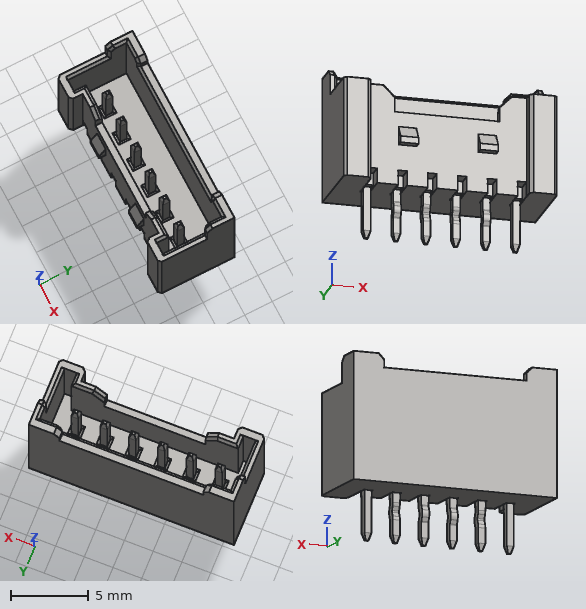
import cadquery as cq
import math


width = 14.3
back_y = 2.95
depth = 5.5
total_height = 11.8
front_y = back_y - depth
half_width = width / 2

tab_top = 8.51
back_rim = 7.6
side_rim = 6.78
tab_back_length = 2.15
tab_side_length = 2.0
tab_chamfer = 0.4

wall = 0.5
back_wall = 0.7
front_wall = 0.49
rim_bevel = 0.2
floor_top = 1.8

ear_width = 1.83
ear_projection = 0.92
ear_chamfer = 0.2
ear_inner_chamfer = 0.23
ear_inner_x = half_width - ear_width
panel_y = front_y + ear_projection

cavity_side_x = half_width - wall
cavity_back_y = back_y - back_wall
cavity_front_y = front_y + wall
cavity_ear_x = ear_inner_x + front_wall
cavity_panel_y = panel_y + front_wall

window_half_width = 3.52
window_bottom = 5.0
window_flare_bottom = 6.0
window_flare = side_rim - window_flare_bottom

latch_x = 2.67
latch_width = 1.2
latch_projection = 0.5
latch_top = 4.0
latch_knee = 3.19
latch_bottom = 2.76

pin_count = 6
pin_pitch = 2.0
pin_size = 0.5
pin_top = 5.49
pin_bottom = tab_top - total_height
tip_length = 0.49
tip_size = 0.2

kink_z = -1.2
kink_half_height = 0.57
kink_angle = math.radians(22)
kink_radius = 0.4
kink_directions = [0, -1, 1, 1, -1, 0]

funnel_size = 0.89
funnel_depth = (funnel_size - pin_size) / 2
slot_width = 0.6
slot_height = 0.19
notch_height = 1.0
notch_depth = 1.0

pin_places = [(i - (pin_count - 1) / 2) * pin_pitch for i in range(pin_count)]


def mirrored(points):
    """Close an outline that is symmetric about X = 0 from its right half."""
    return points + [(-x, v) for x, v in reversed(points)]


def box_between(x_range, y_range, z_range):
    size = [b - a for a, b in (x_range, y_range, z_range)]
    corner = (x_range[0], y_range[0], z_range[0])
    return cq.Workplane("XY").box(*size, centered=False).translate(corner)


def housing_block():
    """Outer body: U-shaped plan with chamfered ears."""
    outline = mirrored([
        (half_width, back_y),
        (half_width, front_y + ear_chamfer),
        (half_width - ear_chamfer, front_y),
        (ear_inner_x + ear_inner_chamfer, front_y),
        (ear_inner_x, front_y + ear_inner_chamfer),
        (ear_inner_x, panel_y),
    ])
    return cq.Workplane("XY").polyline(outline).close().extrude(tab_top)


def cavity():
    """Mating cavity, which reaches forward into both ears."""
    outline = mirrored([
        (cavity_side_x, cavity_back_y),
        (cavity_side_x, cavity_front_y),
        (cavity_ear_x, cavity_front_y),
        (cavity_ear_x, cavity_panel_y),
    ])
    return cq.Workplane("XY", origin=(0, 0, floor_top)).polyline(outline).close().extrude(tab_top)


def back_rim_cut():
    """Space between the two tabs, above the back wall."""
    tab_end = half_width - tab_back_length
    outline = mirrored([
        (tab_end, back_rim),
        (tab_end, tab_top - tab_chamfer),
        (tab_end + tab_chamfer, tab_top),
    ])
    return cq.Workplane("XZ", origin=(0, back_y, 0)).polyline(outline).close().extrude(depth)


def side_rim_cut():
    """Space in front of the tabs, above the side walls and the front."""
    tab_end = back_y - tab_side_length
    outline = [
        (tab_end + tab_chamfer, tab_top),
        (tab_end, tab_top - tab_chamfer),
        (tab_end, side_rim),
        (front_y, side_rim),
        (front_y, tab_top),
    ]
    return cq.Workplane("YZ").polyline(outline).close().extrude(half_width, both=True)


def window_flare_cut():
    """Sloped upper part of the front window, run on past its lower end so that the bevel does too."""
    overrun = 2 * rim_bevel
    outline = mirrored([
        (window_half_width - overrun, window_flare_bottom - overrun),
        (window_half_width + window_flare, side_rim),
    ])
    return cq.Workplane("XZ", origin=(0, cavity_panel_y, 0)).polyline(outline).close().extrude(front_wall)


def window_cut():
    return box_between(
        (-window_half_width, window_half_width),
        (panel_y, cavity_panel_y),
        (window_bottom, side_rim),
    )


def latch(x):
    """Bump with a sloped top."""
    outline = [
        (panel_y, latch_top),
        (panel_y - latch_projection, latch_knee),
        (panel_y - latch_projection, latch_bottom),
        (panel_y, latch_bottom),
    ]
    start = (x - latch_width / 2, 0, 0)
    return cq.Workplane("YZ", origin=start).polyline(outline).close().extrude(latch_width)


def pin_seat(x):
    """Pin hole with a funnel on top, and below it a notch and a shallow slot open to the front."""
    hole = box_between(
        (x - pin_size / 2, x + pin_size / 2), (-pin_size / 2, pin_size / 2), (0, floor_top)
    )
    funnel = (
        cq.Workplane("XY", origin=(x, 0, floor_top))
        .rect(funnel_size, funnel_size)
        .extrude(-funnel_depth, taper=45)
    )
    slot_x = (x - slot_width / 2, x + slot_width / 2)
    notch = box_between(slot_x, (panel_y, panel_y + notch_depth), (0, notch_height))
    slot = box_between(slot_x, (panel_y, slot_width / 2), (0, slot_height))
    return hole.union(funnel).union(notch).union(slot)


def rim_edges(body):
    """Inner rim edges of the back wall, the side walls, the front panel and the ears beside it."""
    wall_faces = [
        ((-cavity_side_x, cavity_back_y), (cavity_side_x, cavity_back_y)),
        ((-cavity_ear_x, cavity_panel_y), (cavity_ear_x, cavity_panel_y)),
    ]
    for side in (-1, 1):
        x = side * cavity_side_x
        wall_faces.append(((x, cavity_front_y), (x, cavity_back_y)))
        x = side * cavity_ear_x
        wall_faces.append(((x, cavity_front_y), (x, cavity_panel_y)))

    margin = 0.01
    edges = []
    for (x_min, y_min), (x_max, y_max) in wall_faces:
        low_corner = (x_min - margin, y_min - margin, window_flare_bottom + margin)
        high_corner = (x_max + margin, y_max + margin, tab_top + margin)
        edges += body.edges(cq.selectors.BoxSelector(low_corner, high_corner)).vals()
    return edges


def make_housing():
    body = housing_block()
    for space in (cavity(), back_rim_cut(), side_rim_cut(), window_flare_cut()):
        body = body.cut(space)
    body = body.newObject(rim_edges(body)).chamfer(rim_bevel)
    body = body.cut(window_cut())
    for x in (-latch_x, latch_x):
        body = body.union(latch(x))
    for x in pin_places:
        body = body.cut(pin_seat(x))
    return body


def kink_bend(angle):
    """Sideways and upright travel along the first part of a kink bend."""
    return kink_radius * (1 - math.cos(angle)), kink_radius * math.sin(angle)


def pin_path(direction, start_z, end_z):
    """Centre line of a pin shaft from top to bottom, with a kink unless direction is 0."""
    path = cq.Workplane("YZ").moveTo(0, start_z)
    if direction == 0:
        return path.lineTo(0, end_z)

    rise, run = kink_bend(kink_angle)
    mid_rise, mid_run = kink_bend(kink_angle / 2)
    ramp = (kink_half_height - 2 * run) * math.tan(kink_angle)
    crest = 2 * rise + ramp
    top = kink_z + kink_half_height
    bottom = kink_z - kink_half_height
    return (
        path.lineTo(0, top)
        .threePointArc((direction * mid_rise, top - mid_run), (direction * rise, top - run))
        .lineTo(direction * (crest - rise), kink_z + run)
        .threePointArc((direction * crest, kink_z), (direction * (crest - rise), kink_z - run))
        .lineTo(direction * rise, bottom + run)
        .threePointArc((direction * mid_rise, bottom + mid_run), (0, bottom))
        .lineTo(0, end_z)
    )


def pin_tip(z, length):
    """Pyramid stump from the shaft end at z; a negative length points down."""
    return (
        cq.Workplane("XY", origin=(0, 0, z))
        .rect(pin_size, pin_size)
        .workplane(offset=length)
        .rect(tip_size, tip_size)
        .loft(ruled=True)
    )


def make_pin(x, direction):
    shaft_top = pin_top - tip_length
    shaft_bottom = pin_bottom + tip_length
    section = cq.Workplane("XY", origin=(0, 0, shaft_top)).rect(pin_size, pin_size)
    shaft = section.sweep(pin_path(direction, shaft_top, shaft_bottom))
    pin = shaft.union(pin_tip(shaft_top, tip_length)).union(pin_tip(shaft_bottom, -tip_length))
    return pin.translate((x, 0, 0))


housing = make_housing()
pins = [make_pin(x, direction) for x, direction in zip(pin_places, kink_directions)]

result = cq.Compound.makeCompound([housing.val(), *[pin.val() for pin in pins]])